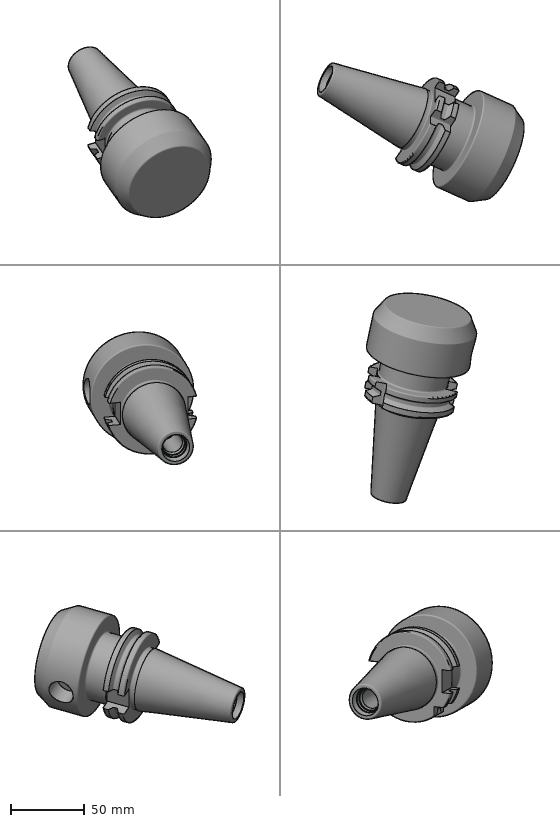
import cadquery as cq
import math

taper_length = 67.5
taper_large_radius = 22.1
taper_slope = 7 / 48
taper_tip_radius = taper_large_radius - taper_length * taper_slope
tip_fillet = 1.0
relief_start = 68.7
relief_radius = 21.8
relief_fillet = 0.7

flange_start = 71.3
flange_end = 87.2
flange_radius = 63.6 / 2
flange_fillet = 1.0
groove_center = 79.5
groove_top_width = 7.2
groove_radius = 56.3 / 2
groove_half_angle = math.radians(30)
groove_depth = flange_radius - groove_radius
groove_bottom_width = groove_top_width - 2 * groove_depth * math.tan(groove_half_angle)
groove_top_start = groove_center - groove_top_width / 2
groove_top_end = groove_center + groove_top_width / 2
groove_bottom_start = groove_center - groove_bottom_width / 2
groove_bottom_end = groove_center + groove_bottom_width / 2
groove_fillet = 0.7

neck_radius = 48.0 / 2
neck_fillet = 1.1
head_start = 103.3
head_cone_start = 128.3
head_end = 138.2
head_radius = 72.0 / 2
head_cone_angle = math.radians(30)
head_end_radius = head_radius - (head_end - head_cone_start) * math.tan(head_cone_angle)
head_back_fillet = 1.0
head_shoulder_fillet = 0.7
head_end_fillet = 1.1

slot_width = 16.2
notch_runout = 0.4
front_slot_floor = 24.7
back_slot_floor = 22.7
corner_notch_offset = 18.5
corner_notch_fillet = 1.1

screw_center = 116.0
screw_diameter = 18.0
screw_depth = 13.8

mouth_radius = 9.7
mouth_end = 2.4
mouth_end_radius = 9.4
mouth_cone_end = 4.5
mouth_cone_end_radius = 8.7
thread_radius = 8.2
thread_end = 7.6
thread_runout_radius = 7.7
thread_runout_end = 8.0
core_radius = 6.9
core_start = 10.1
core_end = 34.5
drill_half_angle = math.radians(59)
core_tip = core_end + core_radius / math.tan(drill_half_angle)

rim_tolerance = 0.03


def box(x_range, y_range, z_range):
    size = [high - low for low, high in (x_range, y_range, z_range)]
    corner = (x_range[0], y_range[0], z_range[0])
    return cq.Workplane("XY").box(*size, centered=False).translate(corner)


def revolve_about_x(points):
    return cq.Workplane("XY").polyline(points).close().revolve(360, (0, 0, 0), (1, 0, 0))


def slice_selector(x, radius):
    """Select what lies wholly in a thin square slice across the axis."""
    low = (x - rim_tolerance, -radius, -radius)
    high = (x + rim_tolerance, radius, radius)
    return cq.selectors.BoxSelector(low, high, boundingbox=True)


def fillet_rim(body, x, radius, fillet_radius):
    """Round the circular edges found at one axial place and radius."""
    up_to_rim = slice_selector(x, radius + rim_tolerance)
    inside_rim = slice_selector(x, radius - rim_tolerance)
    return body.edges(up_to_rim - inside_rim).edges("%CIRCLE").fillet(fillet_radius)


def turned_body():
    body = revolve_about_x([
        (0, 0),
        (0, taper_tip_radius),
        (taper_length, taper_large_radius),
        (relief_start, relief_radius),
        (flange_start, relief_radius),
        (flange_start, flange_radius),
        (groove_top_start, flange_radius),
        (groove_bottom_start, groove_radius),
        (groove_bottom_end, groove_radius),
        (groove_top_end, flange_radius),
        (flange_end, flange_radius),
        (flange_end, neck_radius),
        (head_start, neck_radius),
        (head_start, head_radius),
        (head_cone_start, head_radius),
        (head_end, head_end_radius),
        (head_end, 0),
    ])
    rounded_rims = [
        (0, taper_tip_radius, tip_fillet),
        (flange_start, relief_radius, relief_fillet),
        (flange_start, flange_radius, flange_fillet),
        (groove_bottom_start, groove_radius, groove_fillet),
        (groove_bottom_end, groove_radius, groove_fillet),
        (flange_end, flange_radius, flange_fillet),
        (flange_end, neck_radius, neck_fillet),
        (head_start, neck_radius, neck_fillet),
        (head_start, head_radius, head_back_fillet),
        (head_cone_start, head_radius, head_shoulder_fillet),
        (head_end, head_end_radius, head_end_fillet),
    ]
    for x, radius, fillet_radius in rounded_rims:
        body = fillet_rim(body, x, radius, fillet_radius)
    return body


def flange_notches():
    along_flange = (flange_start, flange_end + notch_runout)
    across_slot = (-slot_width / 2, slot_width / 2)
    front = box(along_flange, (-head_radius, -front_slot_floor), across_slot)
    back = box(along_flange, (back_slot_floor, head_radius), across_slot)
    corner_range = (-head_radius, -corner_notch_offset)
    corner = box(along_flange, corner_range, corner_range)
    corner = corner.edges("|X and >Y and >Z").fillet(corner_notch_fillet)
    return front.union(back).union(corner)


def screw_hole():
    entry = cq.Workplane("XZ", origin=(screw_center, head_radius, 0))
    return entry.circle(screw_diameter / 2).extrude(screw_depth)


def pull_stud_hole():
    return revolve_about_x([
        (0, 0),
        (0, mouth_radius),
        (mouth_end, mouth_end_radius),
        (mouth_cone_end, mouth_cone_end_radius),
        (mouth_cone_end, thread_radius),
        (thread_end, thread_radius),
        (thread_runout_end, thread_runout_radius),
        (core_start, core_radius),
        (core_end, core_radius),
        (core_tip, 0),
    ])


result = turned_body().cut(flange_notches()).cut(screw_hole()).cut(pull_stud_hole())